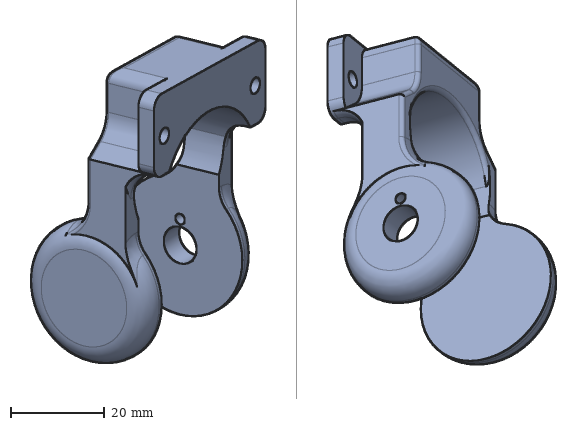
import cadquery as cq
import math


disk_radius = 16.0
disk_round = 5.0
disk_inner_y = 15.5
half_width = 21.5
pivot_hole_diameter = 8.4
pin_hole_diameter = 2.4
pin_hole_z = 6.0

arm_depth = 10.0
arm_outer_y = 20.5
arm_blend = 7.0
gusset_radius = 7.0

plate_front_x = 14.0
plate_rear_x = 18.0
plate_bottom_z = 31.0
plate_top_z = 50.0
corner_radius = 3.0
mount_hole_diameter = 3.6
mount_hole_y = 17.5
mount_hole_z = 40.0

bridge_half_width = 13.5
shoulder_radius = 7.0
shoulder_slope = math.radians(35)
edge_round = 1.0

arch_radius = 18.0
arch_center_z = 22.0
throat_radius = 17.4
throat_center_z = 26.3

corner_center_y = half_width - corner_radius
corner_center_z = plate_bottom_z + corner_radius
foot_angle = math.asin((arm_outer_y - corner_center_y) / corner_radius)
shoulder_foot_z = corner_center_z - corner_radius * math.cos(foot_angle)

reach = 60.0
tolerance = 0.01


def corner_point(angle):
    """Point (Y, Z) on the plate's lower corner arc, at an angle from straight down."""
    return (
        corner_center_y + corner_radius * math.sin(angle),
        corner_center_z - corner_radius * math.cos(angle),
    )


def make_plate():
    """Mounting plate with rounded corners."""
    return (
        cq.Workplane("YZ", origin=(plate_front_x, 0, (plate_bottom_z + plate_top_z) / 2))
        .rect(2 * half_width, plate_top_z - plate_bottom_z)
        .extrude(plate_rear_x - plate_front_x)
        .edges("|X")
        .fillet(corner_radius)
    )


def arm_envelope():
    """Box that bounds one arm and its blends."""
    width = arm_outer_y - disk_inner_y
    return cq.Workplane("XY", origin=(0, disk_inner_y + width / 2, 0)).box(
        reach, width, shoulder_foot_z, centered=(True, True, False)
    )


def edges_in_plane(solid, x, y_range, z_range):
    """Edges lying in the plane X = x, with centers inside the given Y and Z ranges."""
    low = (x - tolerance, y_range[0], z_range[0])
    high = (x + tolerance, y_range[1], z_range[1])
    return solid.edges(cq.selectors.BoxSelector(low, high))


def make_disk():
    """Disk with a rounded outer rim."""
    return (
        cq.Workplane("XY")
        .moveTo(0, disk_inner_y)
        .lineTo(disk_radius, disk_inner_y)
        .lineTo(disk_radius, half_width - disk_round)
        .radiusArc((disk_radius - disk_round, half_width), -disk_round)
        .lineTo(0, half_width)
        .close()
        .revolve(360, (0, 0, 0), (0, 1, 0))
        .rotate((0, 0, 0), (0, 1, 0), 90)
    )


def make_lower_arm(disk):
    """Arm flowing into the disk rim; an oversize slab is blended, then trimmed to the arm."""
    slab = cq.Workplane("XY", origin=(0, disk_inner_y, 0)).box(
        arm_depth, reach, 2 * reach, centered=(False, False, True)
    )
    blended = slab.union(disk)
    rim_y = (disk_inner_y + tolerance, half_width + tolerance)
    rim_z = (-disk_radius - tolerance, disk_radius + tolerance)
    blended = edges_in_plane(blended, 0, rim_y, rim_z).fillet(arm_blend)
    blended = edges_in_plane(blended, arm_depth, rim_y, rim_z).fillet(arm_blend)
    return blended.intersect(arm_envelope())


def make_gusset():
    """Web behind the arm top: the plate's lower outline revolved down into the rear arm face."""
    axis_x = arm_depth + gusset_radius
    axis_z = plate_bottom_z - gusset_radius
    web = cq.Workplane("XY", origin=(arm_depth, disk_inner_y, axis_z)).box(
        gusset_radius, arm_outer_y - disk_inner_y, shoulder_foot_z - axis_z, centered=False
    )
    mid_y, mid_z = corner_point(foot_angle / 2)
    hollow = (
        cq.Workplane("YZ", origin=(axis_x, 0, axis_z))
        .moveTo(0, 0)
        .lineTo(0, gusset_radius)
        .lineTo(corner_center_y, gusset_radius)
        .threePointArc((mid_y, mid_z - axis_z), (arm_outer_y, shoulder_foot_z - axis_z))
        .lineTo(arm_outer_y, 0)
        .close()
        .revolve(360, (0, 0, 0), (1, 0, 0))
    )
    return web.cut(hollow)


def make_bridge_half():
    """Half of the block across the top, with sloping shoulders that run out onto the arms."""
    turn = math.pi / 2 - shoulder_slope
    arc_end_y = bridge_half_width + shoulder_radius * (1 - math.cos(turn))
    arc_end_z = shoulder_foot_z + (arm_outer_y - arc_end_y) * math.tan(shoulder_slope)
    arc_start_z = arc_end_z + shoulder_radius * math.sin(turn)
    across = (
        cq.Workplane("YZ")
        .moveTo(0, plate_top_z)
        .lineTo(bridge_half_width - corner_radius, plate_top_z)
        .radiusArc((bridge_half_width, plate_top_z - corner_radius), corner_radius)
        .lineTo(bridge_half_width, arc_start_z)
        .radiusArc((arc_end_y, arc_end_z), -shoulder_radius)
        .lineTo(arm_outer_y, shoulder_foot_z)
        .threePointArc(corner_point(foot_angle / 2), (corner_center_y, plate_bottom_z))
        .lineTo(0, plate_bottom_z)
        .close()
        .extrude(plate_front_x)
    )
    along = (
        cq.Workplane("XZ")
        .moveTo(0, plate_bottom_z)
        .lineTo(plate_front_x, plate_bottom_z)
        .lineTo(plate_front_x, plate_top_z)
        .lineTo(corner_radius, plate_top_z)
        .radiusArc((0, plate_top_z - corner_radius), -corner_radius)
        .close()
        .extrude(-half_width)
    )
    return across.intersect(along)


def make_opening():
    """Arch through the bridge, with a rounded front edge, narrowed by the throat circle."""
    arc_inset = edge_round * (1 - math.sqrt(0.5))
    arch = (
        cq.Workplane("XY")
        .moveTo(-disk_radius, 0)
        .lineTo(-disk_radius, arch_radius + edge_round)
        .lineTo(0, arch_radius + edge_round)
        .threePointArc((arc_inset, arch_radius + arc_inset), (edge_round, arch_radius))
        .lineTo(plate_rear_x, arch_radius)
        .lineTo(plate_rear_x, 0)
        .close()
        .revolve(360, (0, 0, 0), (1, 0, 0))
        .translate((0, 0, arch_center_z))
    )
    throat = (
        cq.Workplane("YZ", origin=(-disk_radius, 0, throat_center_z))
        .circle(throat_radius)
        .extrude(disk_radius + plate_rear_x)
    )
    return arch.intersect(throat)


def round_front_edges(half):
    """Round the outer front edge from the top corner of the bridge down to the disk."""
    bridge_y = (bridge_half_width - tolerance, arm_outer_y - tolerance)
    bridge_edges = edges_in_plane(half, 0, bridge_y, (shoulder_foot_z, plate_top_z))
    arm_y = (arm_outer_y - tolerance, arm_outer_y + tolerance)
    arm_edges = edges_in_plane(half, 0, arm_y, (disk_radius, shoulder_foot_z))
    return bridge_edges.add(arm_edges).fillet(edge_round)


def make_mounting_holes():
    """Two screw holes through the plate."""
    return (
        cq.Workplane("YZ", origin=(plate_front_x, 0, mount_hole_z))
        .pushPoints([(-mount_hole_y, 0), (mount_hole_y, 0)])
        .circle(mount_hole_diameter / 2)
        .extrude(plate_rear_x - plate_front_x)
    )


def make_disk_hole(diameter, center_z):
    """Hole through the +Y disk, parallel to the disk axis."""
    return (
        cq.Workplane("XZ", origin=(0, half_width, center_z))
        .circle(diameter / 2)
        .extrude(half_width - disk_inner_y)
    )


disk = make_disk()
half = make_bridge_half().union(make_gusset()).union(make_lower_arm(disk)).union(disk)
half = round_front_edges(half)
frame = half.union(half.mirror("XZ")).union(make_plate())
result = (
    frame.cut(make_opening())
    .cut(make_mounting_holes())
    .cut(make_disk_hole(pivot_hole_diameter, 0))
    .cut(make_disk_hole(pin_hole_diameter, pin_hole_z))
)